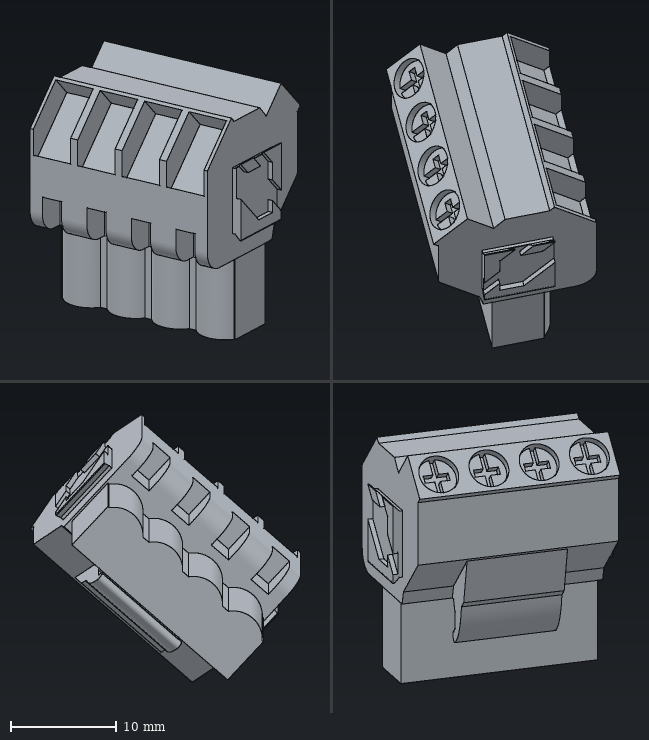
import cadquery as cq
import math


POLE_COUNT = 4
POLE_PITCH = 5.09
POLE_CENTRES = [(i - (POLE_COUNT - 1) / 2) * POLE_PITCH for i in range(POLE_COUNT)]

BODY_WIDTH = 20.32
BODY_BOTTOM = 8.35
FRONT_TOP = 18.8
FRONT_RIDGE_Y = 4.1
RIDGE_LIP = 0.48
TOP_BACK_Y = 8.91
VALLEY_Y = 10.03
SCREW_RIDGE_Y = 12.57
SCREW_RIDGE_Z = 23.77
SCREW_FACE_RUN = 3.3
BACK_Y = 15.38
BACK_BOTTOM_Z = 13.67
HEEL_Y = 11.39
HEEL_Z = BACK_BOTTOM_Z - (BACK_Y - HEEL_Y)
UNDERSIDE_BACK_Y = 11.03
FRONT_FILLET = 2.02

POCKET_WIDTH = 4.28
POCKET_DEPTH = 2.66
POCKET_SILL_Z = 16.19
POCKET_TOP_Y = 3.83

SLOT_WIDTH = 2.19
SLOT_TOP = 12.12
SLOT_DEPTH = 3.0

PLUG_WIDTH = 19.92
PLUG_BACK_Y = 10.13
PLUG_WEB_Y = 5.05
PLUG_BULGE_Y = 4.0
PLUG_BULGE_WIDTH = 4.33

LATCH_WIDTH = 2 * POLE_PITCH
LATCH_ROOT_Y = 15.1

EAR_OUTER_X = 22.27 / 2
EAR_BEVEL_OUTER_X = 11.03
EAR_BEVEL_INNER_X = 10.48
EAR_FRONT_Y = 4.25
EAR_BACK_Y = 11.15
EAR_BOTTOM = 10.55
EAR_TOP = 18.33
EAR_RECESS_DEPTH = 0.5

SCREW_DIAMETER = 3.9
SCREW_Y = 14.21
SCREW_HEAD_DEPTH = 0.8
SCREW_LENGTH = 2.38
DRIVE_DEPTH = 0.74
DRIVE_SLOT_WIDTH = 0.57
CROSS_SLOT_WIDTH = 0.75
CROSS_SLOT_LENGTH = 2.52

HALF_BODY = BODY_WIDTH / 2


def side_profile():
    """Sketch plane whose local axes are Y and Z, extruding along X."""
    return cq.Workplane("YZ")


def make_body():
    ridge_z = FRONT_TOP + FRONT_RIDGE_Y
    top_z = ridge_z - RIDGE_LIP
    valley_z = SCREW_RIDGE_Z - (SCREW_RIDGE_Y - VALLEY_Y)
    overhang_y = SCREW_RIDGE_Y + SCREW_FACE_RUN
    overhang_z = SCREW_RIDGE_Z - SCREW_FACE_RUN
    outline = [
        (0, BODY_BOTTOM),
        (0, FRONT_TOP),
        (FRONT_RIDGE_Y, ridge_z),
        (FRONT_RIDGE_Y + RIDGE_LIP, top_z),
        (TOP_BACK_Y, top_z),
        (VALLEY_Y, valley_z),
        (SCREW_RIDGE_Y, SCREW_RIDGE_Z),
        (overhang_y, overhang_z),
        (BACK_Y, overhang_z - (overhang_y - BACK_Y)),
        (BACK_Y, BACK_BOTTOM_Z),
        (HEEL_Y, HEEL_Z),
        (UNDERSIDE_BACK_Y, BODY_BOTTOM),
    ]
    body = side_profile().polyline(outline).close().extrude(HALF_BODY, both=True)
    return body.edges(cq.selectors.NearestToPointSelector((0, 0, BODY_BOTTOM))).fillet(FRONT_FILLET)


def make_wire_pocket(x):
    """Cutter with a floor parallel to the front slope and walls square to it."""
    drop = POCKET_DEPTH / math.sqrt(2)
    sill_y = (POCKET_SILL_Z - FRONT_TOP) / 2
    sill = (sill_y, POCKET_SILL_Z - sill_y)
    top = (POCKET_TOP_Y, FRONT_TOP + POCKET_TOP_Y)
    outline = [sill, top, (top[0] + drop, top[1] - drop), (sill[0] + drop, sill[1] - drop)]
    cutter = side_profile().polyline(outline).close().extrude(POCKET_WIDTH / 2, both=True)
    return cutter.translate((x, 0, 0))


def make_front_slot(x):
    slot = cq.Workplane().box(
        SLOT_WIDTH, SLOT_DEPTH, SLOT_TOP - BODY_BOTTOM, centered=(True, False, False)
    )
    return slot.translate((x, 0, BODY_BOTTOM))


def make_plug():
    half_bulge = PLUG_BULGE_WIDTH / 2
    plug = cq.Workplane().moveTo(-PLUG_WIDTH / 2, PLUG_BACK_Y).lineTo(-PLUG_WIDTH / 2, PLUG_WEB_Y)
    for x in POLE_CENTRES:
        plug = plug.lineTo(x - half_bulge, PLUG_WEB_Y)
        plug = plug.threePointArc((x, PLUG_BULGE_Y), (x + half_bulge, PLUG_WEB_Y))
    plug = plug.lineTo(PLUG_WIDTH / 2, PLUG_WEB_Y).lineTo(PLUG_WIDTH / 2, PLUG_BACK_Y)
    return plug.close().extrude(BODY_BOTTOM)


def make_latch():
    """Hooked arm filling the corner below the sloping back of the body."""
    latch = (
        side_profile()
        .moveTo(UNDERSIDE_BACK_Y, BODY_BOTTOM)
        .lineTo(HEEL_Y, HEEL_Z)
        .lineTo(LATCH_ROOT_Y, HEEL_Z + LATCH_ROOT_Y - HEEL_Y)
        .lineTo(14.17, 8.9)
        .lineTo(13.55, 8.27)
        .threePointArc((13.15, 6.25), (12.6, 4.95))
        .lineTo(11.93, 4.18)
        .threePointArc((11.48, 4.14), (11.3, 4.52))
        .lineTo(11.3, 5.02)
        .lineTo(11.77, 5.5)
        .lineTo(11.77, 7.18)
        .lineTo(11.36, BODY_BOTTOM)
        .close()
    )
    return latch.extrude(LATCH_WIDTH / 2, both=True)


def make_ear():
    """Dovetail block for the +X end with a stepped recess in its outer face."""
    bevel = EAR_BEVEL_OUTER_X - EAR_BEVEL_INNER_X
    section = [
        (HALF_BODY, EAR_BOTTOM + bevel),
        (EAR_BEVEL_INNER_X, EAR_BOTTOM + bevel),
        (EAR_BEVEL_OUTER_X, EAR_BOTTOM),
        (EAR_OUTER_X, EAR_BOTTOM),
        (EAR_OUTER_X, EAR_TOP),
        (EAR_BEVEL_OUTER_X, EAR_TOP),
        (EAR_BEVEL_INNER_X, EAR_TOP - bevel),
        (HALF_BODY, EAR_TOP - bevel),
    ]
    block = cq.Workplane("XZ", origin=(0, EAR_FRONT_Y, 0)).polyline(section).close()
    block = block.extrude(EAR_FRONT_Y - EAR_BACK_Y)
    recess_outline = [
        (EAR_BACK_Y, 13.55),
        (9.65, 15.05),
        (9.65, 16.83),
        (8.15, EAR_TOP),
        (6.4, EAR_TOP),
        (7.6, 17.11),
        (5.47, 17.11),
        (EAR_FRONT_Y, EAR_TOP),
        (EAR_FRONT_Y, 14.78),
        (7.3, 11.75),
        (9.65, 11.75),
        (9.65, 12.95),
        (EAR_BACK_Y, 11.45),
    ]
    recess = side_profile().polyline(recess_outline).close().extrude(EAR_RECESS_DEPTH)
    return block.cut(recess.translate((EAR_OUTER_X - EAR_RECESS_DEPTH, 0, 0)))


def screw_plane(x, depth):
    """Plane parallel to the screw face, the given depth below it, facing outwards."""
    drop = depth / math.sqrt(2)
    face_z = SCREW_RIDGE_Z - (SCREW_Y - SCREW_RIDGE_Y)
    return cq.Plane(origin=(x, SCREW_Y - drop, face_z - drop), xDir=(1, 0, 0), normal=(0, 1, 1))


def make_screw_bore(x):
    depth = SCREW_HEAD_DEPTH + SCREW_LENGTH
    return cq.Workplane(screw_plane(x, depth)).circle(SCREW_DIAMETER / 2).extrude(depth)


def make_screw(x):
    """Cylindrical screw with a full-width slot crossed by a shorter one."""
    head = cq.Workplane(screw_plane(x, SCREW_HEAD_DEPTH))
    screw = head.circle(SCREW_DIAMETER / 2).extrude(-SCREW_LENGTH)
    long_slot = head.rect(DRIVE_SLOT_WIDTH, SCREW_DIAMETER).extrude(-DRIVE_DEPTH)
    cross_slot = head.rect(CROSS_SLOT_LENGTH, CROSS_SLOT_WIDTH).extrude(-DRIVE_DEPTH)
    return screw.cut(long_slot).cut(cross_slot)


def make_housing():
    ear = make_ear()
    housing = make_body().union(make_plug()).union(make_latch())
    housing = housing.union(ear).union(ear.mirror("YZ"))
    for x in POLE_CENTRES:
        housing = housing.cut(make_wire_pocket(x))
        housing = housing.cut(make_front_slot(x))
        housing = housing.cut(make_screw_bore(x))
    return housing


housing = make_housing()
screws = [make_screw(x) for x in POLE_CENTRES]
result = cq.Compound.makeCompound([housing.val(), *[screw.val() for screw in screws]])